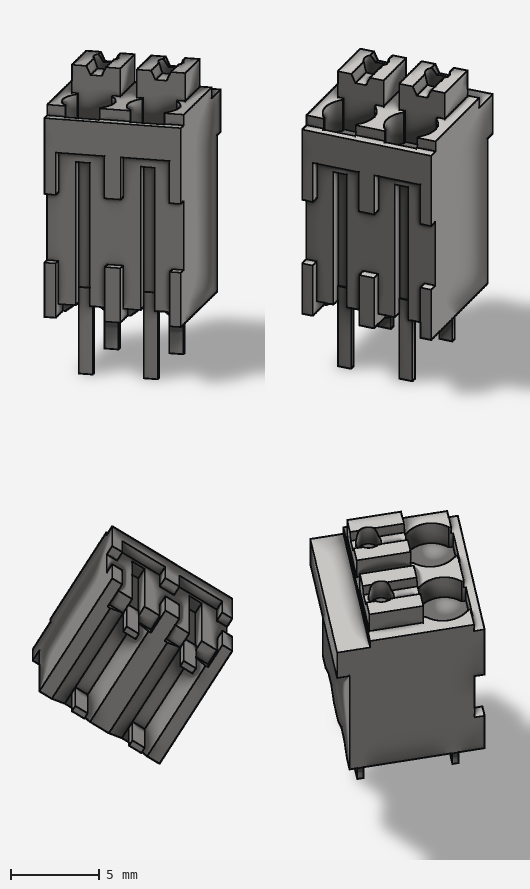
import cadquery as cq


width = 8.01
depth = 8.5
pole_pitch = 3.8
pole_xs = (-pole_pitch / 2, pole_pitch / 2)
bottom_z = 3.5
shoulder_z = 15.18
raised_z = 15.81
raised_front_y = 0.61
raised_back_y = 6.6
body_back_y = 7.78
overhang_z = 12.69

relief_y = 0.58
skirt_z = 10.73
feet_top_z = 6.7
arch_top_z = 13.21
arch_width = 2.85
feet_gap = 2.88

groove_y = 1.24
groove_top_z = 12.58
channel_roof_z = 4.17
channel_mouth_width = 2.55
toe_depth = 1.54

entry_shift = -0.03
entry_floor_z = 13.84
entry_front_y = 0.49
entry_slot_width = 2.0
entry_center_y = 1.97
entry_bulge_width = 3.02
entry_bulge_length = 2.48

button_width = 2.85
button_front_y = 3.4
button_back_y = 6.51
button_top_z = 17.45
notch_top_width = 1.15
notch_floor_width = 0.65
notch_depth = 0.52
bore_diameter = 1.45
bore_y = 5.55
bore_depth = 1.64

pin_width = 0.82
pin_thickness = 0.37
pin_top_z = 5.08
pin_front_ys = (1.17, 6.65)


def block(x_center, x_size, y_range, z_range):
    """Box centred on x_center that spans the given Y and Z ranges."""
    y_low, y_high = y_range
    z_low, z_high = z_range
    return (
        cq.Workplane("XY")
        .box(x_size, y_high - y_low, z_high - z_low, centered=(True, False, False))
        .translate((x_center, y_low, z_low))
    )


def housing_blank():
    """Side profile with the raised top, the back ledge and the front relief."""
    profile = [
        (0, bottom_z),
        (body_back_y, bottom_z),
        (body_back_y, overhang_z),
        (depth, overhang_z),
        (depth, shoulder_z),
        (raised_back_y, shoulder_z),
        (raised_back_y, raised_z),
        (raised_front_y, raised_z),
        (raised_front_y, shoulder_z),
        (0, shoulder_z),
        (0, skirt_z),
        (relief_y, skirt_z),
        (relief_y, feet_top_z),
        (0, feet_top_z),
    ]
    return cq.Workplane("YZ").polyline(profile).close().extrude(width / 2, both=True)


def front_cutouts(x):
    """Arch in the skirt, gap between the feet, space under the face and pin groove of one pole."""
    arch = block(x, arch_width, (0, relief_y), (skirt_z, arch_top_z))
    gap = block(x, feet_gap, (0, relief_y), (bottom_z, feet_top_z))
    toe_space = block(x, feet_gap, (0, toe_depth), (bottom_z, channel_roof_z))
    groove = block(x, pin_width, (0, groove_y), (bottom_z, groove_top_z))
    return arch.union(gap).union(toe_space).union(groove)


def bottom_channel(x):
    """Flared channel along the underside of one pole, open at the front and back."""
    profile = [
        (x - channel_mouth_width / 2, bottom_z),
        (x - pin_width / 2, channel_roof_z),
        (x + pin_width / 2, channel_roof_z),
        (x + channel_mouth_width / 2, bottom_z),
    ]
    return cq.Workplane("XZ").polyline(profile).close().extrude(-depth)


def wire_entry(x):
    """Wire entry pocket of one pole, running from the front lip to the button."""
    half_slot = entry_slot_width / 2
    half_bulge = entry_bulge_width / 2
    arc_front_y = entry_center_y - entry_bulge_length / 2
    arc_back_y = entry_center_y + entry_bulge_length / 2
    return (
        cq.Workplane("XY", origin=(x + entry_shift, 0, entry_floor_z))
        .moveTo(-half_slot, entry_front_y)
        .lineTo(half_slot, entry_front_y)
        .lineTo(half_slot, arc_front_y)
        .threePointArc((half_bulge, entry_center_y), (half_slot, arc_back_y))
        .lineTo(half_slot, button_front_y)
        .lineTo(-half_slot, button_front_y)
        .lineTo(-half_slot, arc_back_y)
        .threePointArc((-half_bulge, entry_center_y), (-half_slot, arc_front_y))
        .close()
        .extrude(raised_z - entry_floor_z)
    )


def button_blank(x):
    """Plain block of one button, which is also the shape of its seat in the housing."""
    return block(x, button_width, (button_front_y, button_back_y), (entry_floor_z, button_top_z))


def make_button(x):
    """Push button with a flared screwdriver notch and a blind bore."""
    notch_floor_z = button_top_z - notch_depth
    notch_profile = [
        (x - notch_top_width / 2, button_top_z),
        (x - notch_floor_width / 2, notch_floor_z),
        (x + notch_floor_width / 2, notch_floor_z),
        (x + notch_top_width / 2, button_top_z),
    ]
    notch = cq.Workplane("XZ").polyline(notch_profile).close().extrude(-depth)
    bore = (
        cq.Workplane("XY", origin=(x, bore_y, button_top_z))
        .circle(bore_diameter / 2)
        .extrude(-bore_depth)
    )
    return button_blank(x).cut(notch).cut(bore)


def make_pin(x, front_y):
    """Flat solder pin, its upper end seated in the housing."""
    return block(x, pin_width, (front_y, front_y + pin_thickness), (0, pin_top_z))


def make_housing(pins):
    """Housing with all pole features, the button seats and the pin holes."""
    housing = housing_blank()
    for x in pole_xs:
        housing = housing.cut(front_cutouts(x)).cut(bottom_channel(x))
        housing = housing.cut(wire_entry(x)).cut(button_blank(x))
    for pin in pins:
        housing = housing.cut(pin)
    return housing


buttons = [make_button(x) for x in pole_xs]
pins = [make_pin(x, front_y) for x in pole_xs for front_y in pin_front_ys]
housing = make_housing(pins)

result = cq.Compound.makeCompound(
    [
        housing.val(),
        *[button.val() for button in buttons],
        *[pin.val() for pin in pins],
    ]
)